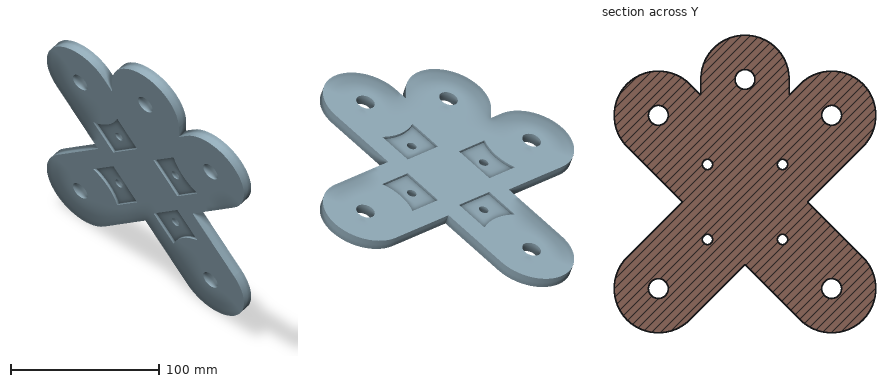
import cadquery as cq
import math

total_height = 200.7
thickness = 7.5
arm_length = 82.5
top_angle = 90
diagonal_angles = (45, 135, 225, 315)
diagonal_drop = arm_length * math.sin(math.radians(45))
arm_radius = (total_height - arm_length - diagonal_drop) / 2
arm_hole_diameter = 13.0

pocket_inner = 25.5
pocket_width = 30.1
pocket_depth = 2.0
pad_radius = 35.1
small_hole_distance = 35.7
small_hole_diameter = 6.6

front_y = -thickness / 2


def front_plane(angle):
    """Workplane on the front face with its x axis along the arm."""
    direction = math.radians(angle)
    return cq.Workplane(
        cq.Plane(
            origin=(0, front_y, 0),
            xDir=(math.cos(direction), 0, math.sin(direction)),
            normal=(0, -1, 0),
        )
    )


def make_arm(angle):
    bar = (
        front_plane(angle)
        .center(arm_length / 2, 0)
        .rect(arm_length, 2 * arm_radius)
        .extrude(-thickness)
    )
    tip = front_plane(angle).center(arm_length, 0).circle(arm_radius).extrude(-thickness)
    return bar.union(tip)


def make_hole(angle, distance, diameter):
    return front_plane(angle).center(distance, 0).circle(diameter / 2).extrude(-thickness)


def make_pocket(angle):
    half_width = pocket_width / 2
    outer_corner = arm_length - math.sqrt(pad_radius**2 - half_width**2)
    return (
        front_plane(angle)
        .moveTo(pocket_inner, -half_width)
        .lineTo(outer_corner, -half_width)
        .threePointArc((arm_length - pad_radius, 0), (outer_corner, half_width))
        .lineTo(pocket_inner, half_width)
        .close()
        .extrude(-pocket_depth)
    )


arm_angles = (top_angle, *diagonal_angles)

result = make_arm(top_angle)
for angle in diagonal_angles:
    result = result.union(make_arm(angle))
result = result.clean()

for angle in arm_angles:
    result = result.cut(make_hole(angle, arm_length, arm_hole_diameter))

for angle in diagonal_angles:
    result = result.cut(make_pocket(angle))
    result = result.cut(make_hole(angle, small_hole_distance, small_hole_diameter))